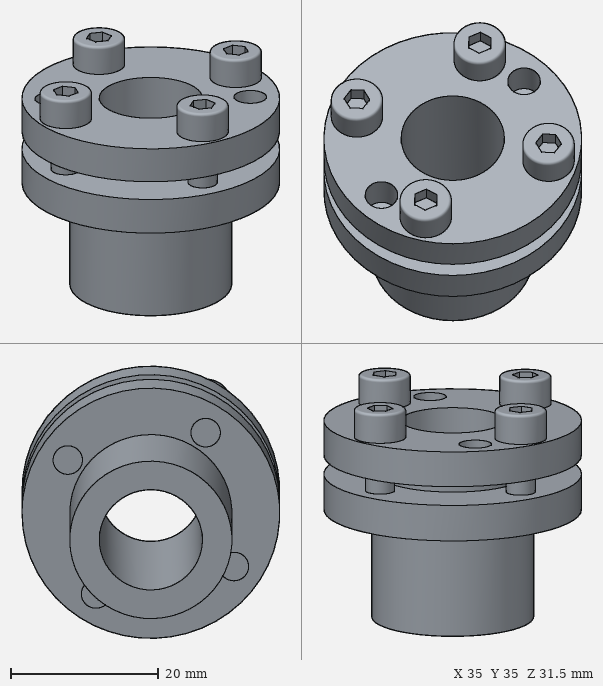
import cadquery as cq
import math

flange_diameter = 35.0
bore_diameter = 14.0
hub_diameter = 22.0
neck_diameter = 20.23
hub_length = 15.0
lower_flange_thickness = 4.97
gap_height = 2.62
upper_flange_thickness = 4.85

screw_count = 4
screw_circle_radius = 13.5
shank_diameter = 4.0
head_diameter = 7.0
head_height = 4.02
head_edge_radius = 0.4
socket_width = 3.0
socket_depth = 2.03
socket_angle = 13.0

plain_hole_count = 2
plain_hole_diameter = 4.4
first_plain_hole_angle = 60.0

lower_flange_bottom = hub_length
lower_flange_top = lower_flange_bottom + lower_flange_thickness
upper_flange_bottom = lower_flange_top + gap_height
upper_flange_top = upper_flange_bottom + upper_flange_thickness
shank_length = upper_flange_top - lower_flange_bottom


def cylinder(diameter, bottom, height):
    """Upright cylinder on the Z axis."""
    return cq.Workplane("XY").workplane(offset=bottom).circle(diameter / 2).extrude(height)


def on_screw_circle(shape, angle):
    """Move a shape from the Z axis out to the screw circle, at an angle from +X."""
    moved = shape.translate((screw_circle_radius, 0, 0))
    return moved.rotate((0, 0, 0), (0, 0, 1), angle)


def evenly_spaced(count, first_angle=0.0):
    """Angles of equally spaced positions around the axis."""
    return [first_angle + index * 360.0 / count for index in range(count)]


def make_hub():
    """Tube, lower flange, neck and upper flange in one piece, with all their holes."""
    hub = cylinder(hub_diameter, 0, hub_length)
    hub = hub.union(cylinder(flange_diameter, lower_flange_bottom, lower_flange_thickness))
    hub = hub.union(cylinder(neck_diameter, lower_flange_top, gap_height))
    hub = hub.union(cylinder(flange_diameter, upper_flange_bottom, upper_flange_thickness))
    hub = hub.cut(cylinder(bore_diameter, 0, upper_flange_top))

    screw_hole = cylinder(shank_diameter, lower_flange_bottom, shank_length)
    for angle in evenly_spaced(screw_count):
        hub = hub.cut(on_screw_circle(screw_hole, angle))

    plain_hole = cylinder(plain_hole_diameter, upper_flange_bottom, upper_flange_thickness)
    for angle in evenly_spaced(plain_hole_count, first_plain_hole_angle):
        hub = hub.cut(on_screw_circle(plain_hole, angle))
    return hub


def make_screw(angle):
    """Screw with a rounded head and hexagon socket; its shank ends flush below the lower flange."""
    head = cylinder(head_diameter, upper_flange_top, head_height)
    head = head.faces(">Z").edges().fillet(head_edge_radius)
    socket_corner_diameter = socket_width / math.cos(math.pi / 6)
    socket = (
        cq.Workplane("XY")
        .workplane(offset=upper_flange_top + head_height - socket_depth)
        .polygon(6, socket_corner_diameter)
        .extrude(socket_depth)
        .rotate((0, 0, 0), (0, 0, 1), socket_angle)
    )
    shank = cylinder(shank_diameter, lower_flange_bottom, shank_length)
    return on_screw_circle(head.cut(socket).union(shank), angle)


hub = make_hub()
screws = [make_screw(angle) for angle in evenly_spaced(screw_count)]

result = cq.Compound.makeCompound([hub.val(), *[screw.val() for screw in screws]])